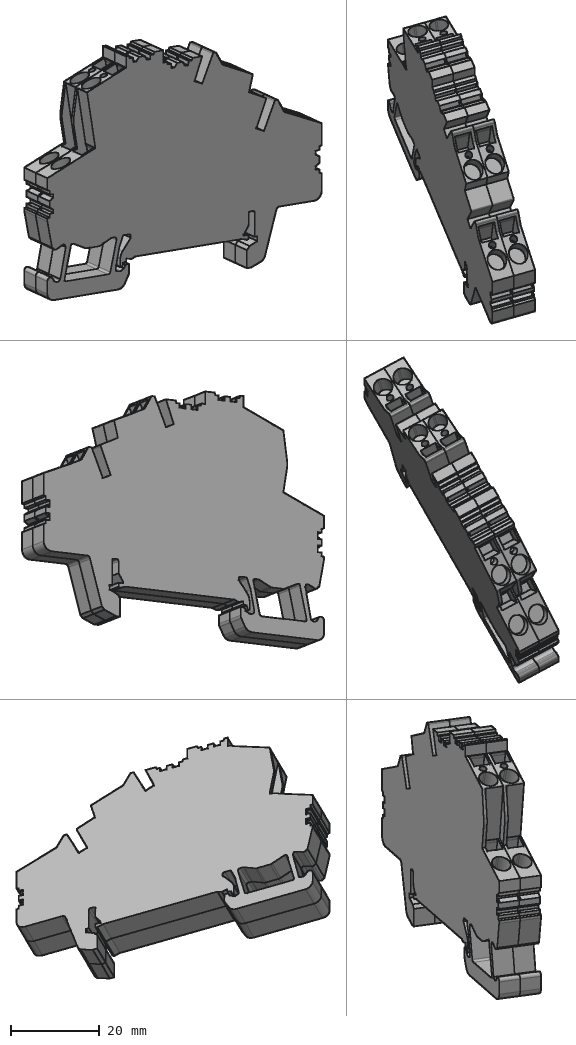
import cadquery as cq
import math


total_width = 10.2
total_length = 72.35
total_height = 54.5
slice_count = 2
slice_width = total_width / slice_count
half_length = total_length / 2

tooth_half = 0.7
floor_start = 1.45
floor_end = 2.2
step_start = 2.3
step_end = 3.1
group_half = 3.3
step_depth = 0.6
groove_depth = 1.6
relief_width = 0.4

upper_group_y = -11.3
lower_group_y = -1.2
lower_group_top = 51.6
end_group_z = 22.7
riser_y = -5.6
lower_group_back_y = 4.6

face_angle = 22.4
back_step = (-16.3, 13.5)
front_step = (-8.0, -17.65)
back_entry = (31.9, 32.9)
front_entry = (-23.1, 48.7)

middle_x = 2.5
entry_width = 4.3
entry_length = 4.8
entry_flat = 0.4
entry_depth = 4.35
test_hole_offset = 3.55
test_hole_diameter = 1.6
test_hole_depth = 4.35
pocket_offset = 4.7
pocket_length = 3.5
pocket_left = 0.8
pocket_width = 3.8
pocket_depth = 7.2
lip_depth = 0.8
pocket_taper = 1.45
cutter_rise = 2.9

recess_left = 0.8
recess_top = (-25.7, 47.5)
recess_bottom = (-23.5, 34.15)
lower_front_corner = (-25.7, 33.3)


def closed_outline(corners):
    """Closed wire through (y, z) or (y, z, radius) corners, rounding those with a radius."""
    wire = None
    for index, corner in enumerate(corners):
        here = cq.Vector(corner[0], corner[1])
        before = cq.Vector(*corners[index - 1][:2])
        after = cq.Vector(*corners[(index + 1) % len(corners)][:2])
        if len(corner) == 2:
            stops = [here]
        else:
            stops = rounded_corner(before, here, after, corner[2])
        if wire is None:
            wire = cq.Workplane("YZ").moveTo(stops[0].x, stops[0].y)
        else:
            wire = wire.lineTo(stops[0].x, stops[0].y)
        if len(stops) == 3:
            wire = wire.threePointArc((stops[1].x, stops[1].y), (stops[2].x, stops[2].y))
    return wire.close()


def rounded_corner(before, corner, after, radius):
    """Start, middle and end of the arc that rounds one corner."""
    towards_before = (before - corner).normalized()
    towards_after = (after - corner).normalized()
    half_angle = towards_before.getAngle(towards_after) / 2
    bisector = (towards_before + towards_after).normalized()
    setback = radius / math.tan(half_angle)
    start = corner + towards_before * setback
    middle = corner + bisector * (radius / math.sin(half_angle) - radius)
    end = corner + towards_after * setback
    return [start, middle, end]


def marker_profile():
    """(along, depth) points of a marker groove group, from its negative to its positive end."""
    half = [
        (tooth_half, step_depth),
        (floor_start, groove_depth),
        (floor_end, groove_depth),
        (step_start, step_depth),
        (step_end, step_depth),
        (group_half, 0),
    ]
    return [(-along, depth) for along, depth in reversed(half)] + half


def top_markers(middle_y, top_z):
    return [(middle_y - along, top_z - depth) for along, depth in marker_profile()]


def front_markers():
    return [(-half_length + depth, end_group_z - along) for along, depth in marker_profile()]


def back_markers():
    return [(half_length - depth, end_group_z + along) for along, depth in marker_profile()]


def shifted(corners, step):
    return [(corner[0] + step[0], corner[1] + step[1], *corner[2:]) for corner in corners]


front_flank = [
    (-15.4, total_height),
    (-15.4, 51.9),
    (-25.7, 47.6, 0.4),
    (-26.8, 39.8, 5.8),
    lower_front_corner,
    (-half_length, 28.95),
]

front_belly = [
    (-half_length, 18.8),
    (-34.95, 12.45),
    (-34.15, 11.7, 0.5),
    (-31.7, 12.8, 0.35),
    (-31.3, 12.0),
]

sprung_foot = [
    (-32.8, 4.7),
    (-33.7, 3.6, 0.9),
    (-35.0, 5.5, 0.35),
    (-half_length, 5.5, 0.8),
    (-half_length, 0, 1.75),
    (-16.35, 0, 2.2),
    (-14.6, 3.3, 1.45),
    (-14.6, 5.6),
    (-15.6, 5.6),
    (-16.0, 4.8),
    (-16.9, 4.2, 0.4),
    (-18.3, 4.35, 0.7),
    (-17.2, 9.9),
    (-16.2, 12.6, 0.4),
    (-14.2, 12.6, 0.6),
    (-14.2, 11.7),
    (-16.9, 8.1, 2.9),
    (-16.9, 5.15),
    (-16.5, 5.15),
    (-16.2, 6.1),
    (-15.35, 6.2),
    (-15.35, 6.95),
]

rail_seat = [
    (-14.0, 6.65),
    (-12.95, 7.1),
    (15.05, 7.1),
    (16.4, 6.65),
    (16.85, 6.9),
    (16.85, 7.8),
    (15.6, 7.8),
    (15.6, 8.1),
    (16.85, 10.0),
]

rail_hook = [
    (16.85, 13.25, 0.4),
    (18.45, 13.25, 0.4),
    (18.45, 7.1),
    (19.2, 7.1),
    (19.2, 6.0),
    (17.15, 5.15),
    (16.4, 4.3),
    (16.4, 0),
    (17.5, 0),
    (20.5, 1.15),
    (21.1, 1.9),
    (24.4, 13.25, 0.9),
    (half_length, 13.25, 2.2),
]

back_corner = (half_length, 31.2)

back_terminal = [
    (26.4, 35.2, 0.9),
    (24.6, 38.4, 0.3),
    (23.8, 38.4, 0.2),
    (20.9, 31.6),
    (18.9, 32.5),
]

back_ledge = [
    (21.55, 39.2, 0.3),
    (17.0, 41.3),
    (18.0, 45.35),
]

upper_back_terminal = shifted(back_terminal, back_step) + [(lower_group_back_y, lower_group_top)]

side_outline = (
    front_flank
    + front_markers()
    + front_belly
    + sprung_foot
    + rail_seat
    + rail_hook
    + back_markers()
    + [back_corner]
    + back_terminal
    + back_ledge
    + upper_back_terminal
    + top_markers(lower_group_y, lower_group_top)
    + [(riser_y, lower_group_top), (riser_y, total_height)]
    + top_markers(upper_group_y, total_height)
)

leg_opening = [
    (-29.8, 12.7, 0.4),
    (-31.75, 4.0, 0.4),
    (-19.7, 4.0, 0.6),
    (-17.8, 12.45, 0.6),
    (-19.25, 12.45, 0.7),
    (-22.4, 10.9, 1.1),
    (-26.05, 10.9, 1.1),
]


def cut_terminal(body, entry, side, has_test_hole):
    """Cut one terminal's openings; side is +1 on the back flank and -1 on the front flank."""
    lean = math.radians(face_angle)
    uphill = (0, -side * math.cos(lean), math.sin(lean))
    outward = (0, side * math.sin(lean), math.cos(lean))
    face = cq.Workplane(cq.Plane((middle_x, *entry), xDir=uphill, normal=outward))

    wire_entry = (
        face.workplane(offset=cutter_rise)
        .moveTo(entry_length / 2, -entry_flat / 2)
        .lineTo(entry_length / 2, entry_flat / 2)
        .threePointArc((0, entry_width / 2), (-entry_length / 2, entry_flat / 2))
        .lineTo(-entry_length / 2, -entry_flat / 2)
        .threePointArc((0, -entry_width / 2), (entry_length / 2, -entry_flat / 2))
        .close()
        .extrude(-cutter_rise - entry_depth)
    )
    body = body.cut(wire_entry)

    if has_test_hole:
        test_hole = (
            face.workplane(offset=cutter_rise)
            .center(test_hole_offset, 0)
            .circle(test_hole_diameter / 2)
            .extrude(-cutter_rise - test_hole_depth)
        )
        body = body.cut(test_hole)

    pocket_end = pocket_offset + pocket_length
    pocket_plane = cq.Plane((pocket_left, *entry), xDir=uphill, normal=(1, 0, 0))
    outward_sign = -side
    profile = [
        (pocket_offset, cutter_rise),
        (pocket_end, cutter_rise),
        (pocket_end, -lip_depth),
        (pocket_end - pocket_taper, -pocket_depth),
        (pocket_offset, -pocket_depth),
    ]
    pocket = (
        cq.Workplane(pocket_plane)
        .polyline([(along, outward_sign * height) for along, height in profile])
        .close()
        .extrude(pocket_width)
    )
    return body.cut(pocket)


def front_recess():
    """Tapered recess between the two front terminals."""
    corners = [
        recess_top,
        recess_bottom,
        lower_front_corner,
        (-half_length, lower_front_corner[1]),
        (-half_length, recess_top[1]),
    ]
    recess = closed_outline(corners).extrude(slice_width - recess_left)
    return recess.translate((recess_left, 0, 0))


def marker_reliefs():
    """Square-sided ends of the marker grooves at the -X side of a slice."""
    length = step_start - tooth_half
    reliefs = []
    for direction in (-1, 1):
        along = direction * (tooth_half + step_start) / 2
        centres = [
            (upper_group_y + along, total_height - groove_depth / 2, length, groove_depth),
            (lower_group_y + along, lower_group_top - groove_depth / 2, length, groove_depth),
            (groove_depth / 2 - half_length, end_group_z + along, groove_depth, length),
            (half_length - groove_depth / 2, end_group_z + along, groove_depth, length),
        ]
        for y, z, size_y, size_z in centres:
            relief = cq.Workplane("YZ").center(y, z).rect(size_y, size_z).extrude(relief_width)
            reliefs.append(relief)
    return reliefs


def terminal_slice():
    body = closed_outline(side_outline).extrude(slice_width)
    body = body.cut(closed_outline(leg_opening).extrude(slice_width))
    body = body.cut(front_recess())

    upper_back_entry = (back_entry[0] + back_step[0], back_entry[1] + back_step[1])
    lower_front_entry = (front_entry[0] + front_step[0], front_entry[1] + front_step[1])
    body = cut_terminal(body, back_entry, 1, True)
    body = cut_terminal(body, upper_back_entry, 1, True)
    body = cut_terminal(body, front_entry, -1, True)
    body = cut_terminal(body, lower_front_entry, -1, False)

    for relief in marker_reliefs():
        body = body.cut(relief)
    return body


slices = []
for number in range(slice_count):
    left_side = number * slice_width - total_width / 2
    slices.append(terminal_slice().translate((left_side, 0, 0)))

result = cq.Compound.makeCompound([one_slice.val() for one_slice in slices])